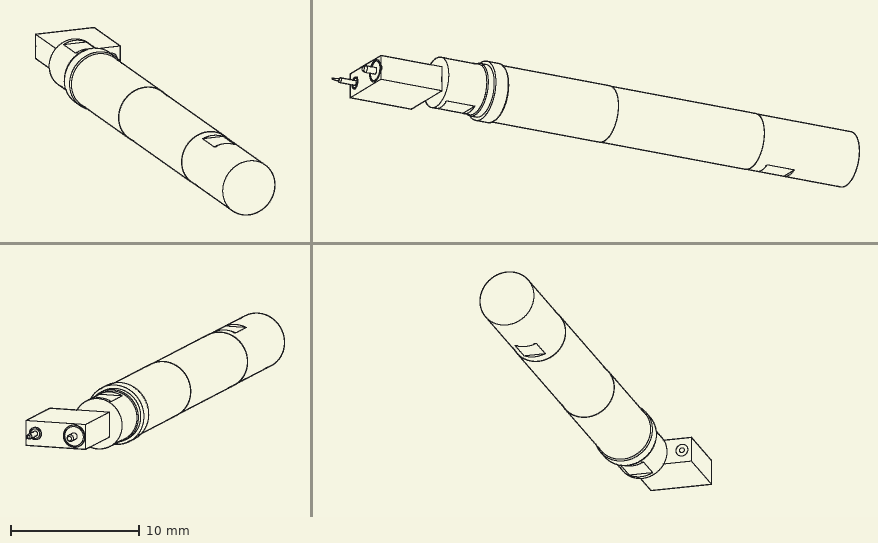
import cadquery as cq


BLOCK_START = 2.02
BLOCK_END = 7.5
COLLAR_START = 11.5
COLLAR_END = 12.6
FRONT_SLEEVE_END = 22.5
REAR_SLEEVE_END = 35.5
PROBE_END = 44.0

SHARP_PIN_Y = 3.2
SHARP_PIN_RADIUS = 0.2
SHARP_SHOULDER_X = 0.55
SHARP_SHOULDER_LENGTH = 0.15
SHARP_TIP_BASE_RADIUS = 0.11
SHARP_TIP_END_RADIUS = 0.05
SHARP_BUSH_RADIUS = 0.5

BLUNT_PIN_Y = 0.0
BLUNT_PIN_RADIUS = 0.25
BLUNT_NOSE_RADIUS = 0.18
BLUNT_PIN_START = 0.95
BLUNT_NOSE_LENGTH = 0.2
BLUNT_BUSH_RADIUS = 0.9

BUSH_CHAMFER = 0.11

NECK_RADIUS = 4.0 / 2
SEAT_RADIUS = 4.2 / 2
SEAT_START = 10.95
SEAT_CHAMFER = SEAT_RADIUS - NECK_RADIUS
NECK_FLAT_START = 7.88
NECK_FLAT_LENGTH = 2.5
NECK_FLAT_HEIGHT = 1.75

COLLAR_RADIUS = 4.7 / 2
FRONT_SLEEVE_RADIUS = 4.5 / 2
REAR_SLEEVE_RADIUS = 4.45 / 2
TAIL_RADIUS = 4.4 / 2
COLLAR_CHAMFER = COLLAR_RADIUS - FRONT_SLEEVE_RADIUS
TAIL_FLAT_START = 36.5
TAIL_FLAT_LENGTH = 2.4
TAIL_FLAT_HEIGHT = 2.02

OVERALL_WIDTH = 6.35
BLOCK_WIDTH = 4.95
BLOCK_HEIGHT = 2.0
BLOCK_Y_MAX = OVERALL_WIDTH - COLLAR_RADIUS
BLOCK_LENGTH = BLOCK_END - BLOCK_START


def turned(profile, y=0.0):
    """Revolve an (x, radius) outline about the X-parallel line at the given y."""
    outline = [(profile[0][0], 0), *profile, (profile[-1][0], 0)]
    solid = cq.Workplane("XZ").polyline(outline).close().revolve(360, (0, 0, 0), (1, 0, 0))
    return solid.translate((0, y, 0))


def rod(start, end, radius, y=0.0):
    """Plain cylinder along X."""
    return turned([(start, radius), (end, radius)], y)


def cut_flats(body, start, length, height, body_radius):
    """Mill a flat above and below, each at the given height from the axis."""
    for side in (1, -1):
        cutter = cq.Workplane("XY").box(length, 2 * body_radius, body_radius)
        middle = (start + length / 2, 0, side * (height + body_radius / 2))
        body = body.cut(cutter.translate(middle))
    return body


def make_sharp_pin():
    return turned(
        [
            (0, SHARP_TIP_END_RADIUS),
            (SHARP_SHOULDER_X, SHARP_TIP_BASE_RADIUS),
            (SHARP_SHOULDER_X + SHARP_SHOULDER_LENGTH, SHARP_PIN_RADIUS),
            (BLOCK_END, SHARP_PIN_RADIUS),
        ],
        SHARP_PIN_Y,
    )


def make_blunt_pin():
    return turned(
        [
            (BLUNT_PIN_START, BLUNT_NOSE_RADIUS),
            (BLUNT_PIN_START + BLUNT_NOSE_LENGTH, BLUNT_PIN_RADIUS),
            (BLOCK_END, BLUNT_PIN_RADIUS),
        ],
        BLUNT_PIN_Y,
    )


def make_bush(radius, pin_radius, y):
    """Bush that lines its bore over the whole block length and carries a pin."""
    bore = rod(BLOCK_START, BLOCK_END, pin_radius, y)
    bush = turned(
        [
            (BLOCK_START, radius - BUSH_CHAMFER),
            (BLOCK_START + BUSH_CHAMFER, radius),
            (BLOCK_END, radius),
        ],
        y,
    )
    return bush.cut(bore)


def make_block():
    block = cq.Workplane("XY").box(BLOCK_LENGTH, BLOCK_WIDTH, BLOCK_HEIGHT)
    block = block.translate((BLOCK_START + BLOCK_LENGTH / 2, BLOCK_Y_MAX - BLOCK_WIDTH / 2, 0))
    for radius, y in ((SHARP_BUSH_RADIUS, SHARP_PIN_Y), (BLUNT_BUSH_RADIUS, BLUNT_PIN_Y)):
        block = block.cut(rod(BLOCK_START, BLOCK_END, radius, y))
    return block


def make_neck():
    neck = turned(
        [
            (BLOCK_END, NECK_RADIUS),
            (SEAT_START - SEAT_CHAMFER, NECK_RADIUS),
            (SEAT_START, SEAT_RADIUS),
            (COLLAR_START, SEAT_RADIUS),
        ]
    )
    return cut_flats(neck, NECK_FLAT_START, NECK_FLAT_LENGTH, NECK_FLAT_HEIGHT, NECK_RADIUS)


def make_front_sleeve():
    return turned(
        [
            (COLLAR_START, COLLAR_RADIUS),
            (COLLAR_END, COLLAR_RADIUS),
            (COLLAR_END + COLLAR_CHAMFER, FRONT_SLEEVE_RADIUS),
            (FRONT_SLEEVE_END, FRONT_SLEEVE_RADIUS),
        ]
    )


def make_tail():
    tail = rod(REAR_SLEEVE_END, PROBE_END, TAIL_RADIUS)
    return cut_flats(tail, TAIL_FLAT_START, TAIL_FLAT_LENGTH, TAIL_FLAT_HEIGHT, TAIL_RADIUS)


sharp_pin = make_sharp_pin()
sharp_bush = make_bush(SHARP_BUSH_RADIUS, SHARP_PIN_RADIUS, SHARP_PIN_Y)
blunt_pin = make_blunt_pin()
blunt_bush = make_bush(BLUNT_BUSH_RADIUS, BLUNT_PIN_RADIUS, BLUNT_PIN_Y)
block = make_block()
neck = make_neck()
front_sleeve = make_front_sleeve()
rear_sleeve = rod(FRONT_SLEEVE_END, REAR_SLEEVE_END, REAR_SLEEVE_RADIUS)
tail = make_tail()

result = cq.Compound.makeCompound(
    [
        sharp_pin.val(),
        sharp_bush.val(),
        blunt_pin.val(),
        blunt_bush.val(),
        block.val(),
        neck.val(),
        front_sleeve.val(),
        rear_sleeve.val(),
        tail.val(),
    ]
)